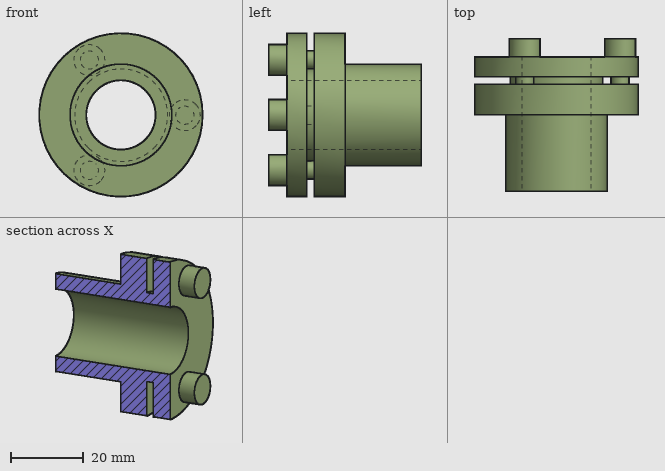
import cadquery as cq

flange_diameter = 45.0
hub_diameter = 28.0
bore_diameter = 19.0
neck_diameter = 25.5

hub_length = 21.0
flange_thickness = 8.5
gap_width = 2.0
ring_thickness = 5.5

screw_count = 3
screw_circle_radius = 17.5
screw_head_diameter = 8.5
screw_head_height = 5.0
screw_shank_diameter = 5.0

gap_start = hub_length + flange_thickness
ring_start = gap_start + gap_width
ring_end = ring_start + ring_thickness


def cylinder_along_y(diameter, start, length):
    """Solid cylinder on the coupling axis, from Y = start toward +Y."""
    return cq.Workplane("XZ", origin=(0, start, 0)).circle(diameter / 2).extrude(-length)


def screw_cylinders(diameter, start, length):
    """One cylinder per clamping screw; the first lies on the +X axis."""
    return (
        cq.Workplane("XZ", origin=(0, start, 0))
        .polarArray(screw_circle_radius, 0, 360, screw_count)
        .circle(diameter / 2)
        .extrude(-length)
    )


def coupling_body():
    """Hub, flange, recessed neck and clamping ring with a through bore."""
    hub = cylinder_along_y(hub_diameter, 0, hub_length)
    flange = cylinder_along_y(flange_diameter, hub_length, flange_thickness)
    neck = cylinder_along_y(neck_diameter, gap_start, gap_width)
    ring = cylinder_along_y(flange_diameter, ring_start, ring_thickness)
    bore = cylinder_along_y(bore_diameter, 0, ring_end)
    return hub.union(flange).union(neck).union(ring).cut(bore)


def clamping_screws():
    """Shanks crossing the gap and cylindrical heads standing on the ring."""
    shanks = screw_cylinders(screw_shank_diameter, gap_start, gap_width)
    heads = screw_cylinders(screw_head_diameter, ring_end, screw_head_height)
    return shanks, heads


shanks, heads = clamping_screws()
result = coupling_body().union(shanks).union(heads)